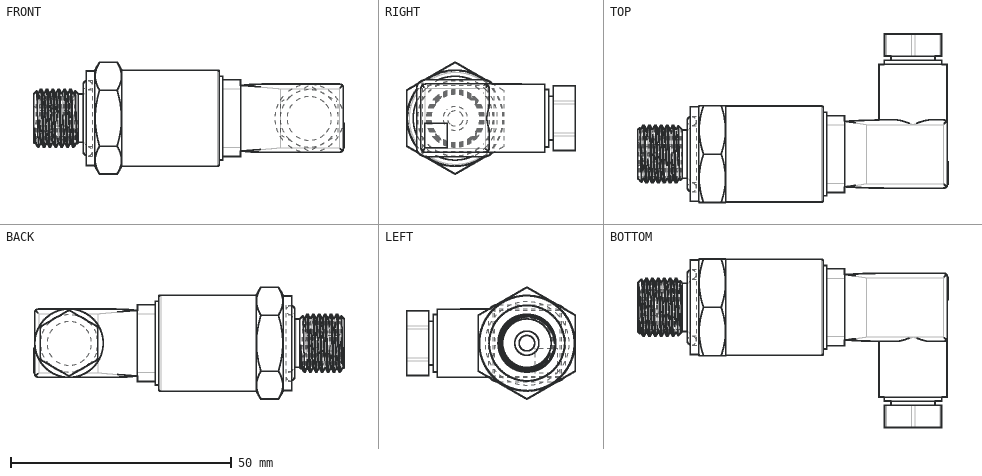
import cadquery as cq
import math


port_start = 0.0
seal_start = 11.2
collar_start = 11.9
hex_start = 13.9
case_start = 20.0
insert_start = 42.15
base_start = 42.9
plug_start = 46.95
plug_end = 70.3
overall_length = 70.5

thread_diameter = 13.1
thread_root_diameter = 11.4
thread_pitch = 1.35
thread_flank_angle = math.radians(27.5)
thread_root_width = 0.2
thread_crest_station = 1.7
thread_end = 10.15
flank_steps = 8
neck_diameter = 11.0
neck_fillet_radius = 0.9
bore_diameter = 3.5
bore_mouth_diameter = 5.5
bore_mouth_depth = 1.4
bore_depth = 8.45
collar_diameter = 21.5
hex_across_flats = 22.0
hex_face_diameter = 21.7
hex_chamfer_angle = 30.0

seal_outer_diameter = 17.05
seal_inner_diameter = 13.0
seal_groove_clearance = 0.1

case_diameter = 21.85
case_edge_radius = 0.5
insert_diameter = 19.0

base_side = 17.5
base_corner_radius = 2.1
plug_side = 15.5
plug_edge_radius = 1.05
plug_end_radius = 0.9
plug_top_taper_end = 51.9
plug_side_taper_end = 55.9
mark_width = 5.1
mark_height = 5.5
mark_y = -4.3
mark_z = -3.95

outlet_x = 62.45
outlet_end = 20.4
washer_end = 21.3
nut_start = 22.2
nut_end = 27.3
washer_diameter = 13.1
gland_stem_diameter = 10.0
nut_across_flats = 13.0
nut_corner_radius = 0.85


def disc(start, end, diameter):
    """Cylinder on the sensor axis between two X stations."""
    return cq.Workplane("YZ", origin=(start, 0, 0)).circle(diameter / 2).extrude(end - start)


def outlet_disc(start, end, diameter):
    """Cylinder on the cable outlet axis between two Y stations."""
    return cq.Workplane("XZ", origin=(outlet_x, start, 0)).circle(diameter / 2).extrude(start - end)


def revolve_about_x(points):
    """Solid of revolution about the sensor axis from (x, radius) points."""
    return cq.Workplane("XY").polyline(points).close().revolve(360, (0, 0, 0), (1, 0, 0))


def thread_section():
    """Cross-section of the thread: a crest arc at +Z and a root arc, joined by two spiral flanks."""
    root_radius = thread_root_diameter / 2
    crest_radius = thread_diameter / 2
    turn_per_length = 2 * math.pi / thread_pitch
    flank_turn = (crest_radius - root_radius) * math.tan(thread_flank_angle) * turn_per_length
    crest_half_turn = math.pi - thread_root_width / 2 * turn_per_length - flank_turn

    def point(radius, turn):
        return cq.Vector(port_start, radius * math.sin(turn), radius * math.cos(turn))

    def flank(side):
        """Spiral from the crest down to the root, on side +1 or -1 of the crest."""
        points = []
        for step in range(flank_steps + 1):
            fraction = step / flank_steps
            radius = crest_radius + fraction * (root_radius - crest_radius)
            points.append(point(radius, side * (crest_half_turn + fraction * flank_turn)))
        return cq.Edge.makeSpline(points)

    left_flank = flank(-1)
    right_flank = flank(1)
    crest = cq.Edge.makeThreePointArc(
        left_flank.startPoint(), point(crest_radius, 0), right_flank.startPoint()
    )
    root = cq.Edge.makeThreePointArc(
        right_flank.endPoint(), point(root_radius, math.pi), left_flank.endPoint()
    )
    return cq.Wire.assembleEdges([crest, right_flank, root, left_flank])


def seal_ring():
    section = (seal_outer_diameter - seal_inner_diameter) / 4
    ring_radius = (seal_outer_diameter + seal_inner_diameter) / 4
    return (
        cq.Workplane("XY")
        .center(seal_start + section, ring_radius)
        .circle(section)
        .revolve(360, (0, -ring_radius, 0), (1, -ring_radius, 0))
    )


def threaded_length():
    """Right-handed thread with both ends coned down to the neck diameter at 45 degrees."""
    length = thread_end - port_start
    thread = cq.Solid.extrudeLinearWithRotation(
        thread_section(),
        [],
        cq.Vector(port_start, 0, 0),
        cq.Vector(length, 0, 0),
        360 * length / thread_pitch,
    )
    crest_turn = -360 * (thread_crest_station - port_start) / thread_pitch
    tip_radius = neck_diameter / 2
    double_cone = revolve_about_x([
        (port_start, 0),
        (port_start, tip_radius),
        (port_start + length / 2, tip_radius + length / 2),
        (thread_end, tip_radius),
        (thread_end, 0),
    ])
    return double_cone.intersect(cq.Workplane(thread).rotate((0, 0, 0), (1, 0, 0), crest_turn))


def neck():
    """Plain neck behind the thread, rounded into the collar face."""
    radius = neck_diameter / 2
    return (
        cq.Workplane("XY")
        .moveTo(thread_end, 0)
        .lineTo(thread_end, radius)
        .lineTo(collar_start - neck_fillet_radius, radius)
        .radiusArc((collar_start, radius + neck_fillet_radius), -neck_fillet_radius)
        .lineTo(collar_start, 0)
        .close()
        .revolve(360, (0, 0, 0), (1, 0, 0))
    )


def seal_groove():
    """Flat-bottomed ring groove that the seal rests in."""
    bottom = seal_start + (seal_outer_diameter - seal_inner_diameter) / 2
    outer = disc(collar_start, bottom, seal_outer_diameter + 2 * seal_groove_clearance)
    return outer.cut(disc(collar_start, bottom, seal_inner_diameter - 2 * seal_groove_clearance))


def chamfered_hexagon():
    """Hexagon with corners at +Z and -Z, both ends chamfered by a cone."""
    corner_radius = hex_across_flats / math.sqrt(3)
    face_radius = hex_face_diameter / 2
    chamfer = (corner_radius - face_radius) * math.tan(math.radians(hex_chamfer_angle))
    hexagon = (
        cq.Workplane("YZ", origin=(hex_start, 0, 0))
        .polygon(6, 2 * corner_radius)
        .extrude(case_start - hex_start)
        .rotate((0, 0, 0), (1, 0, 0), 90)
    )
    turned = revolve_about_x([
        (hex_start, 0),
        (hex_start, face_radius),
        (hex_start + chamfer, corner_radius),
        (case_start - chamfer, corner_radius),
        (case_start, face_radius),
        (case_start, 0),
    ])
    return hexagon.intersect(turned)


def bore():
    mouth_radius = bore_mouth_diameter / 2
    bore_radius = bore_diameter / 2
    return revolve_about_x([
        (port_start, 0),
        (port_start, mouth_radius),
        (port_start + bore_mouth_depth, bore_radius),
        (port_start + bore_depth, bore_radius),
        (port_start + bore_depth, 0),
    ])


def port_body():
    collar = disc(collar_start, hex_start, collar_diameter)
    body = collar.union(chamfered_hexagon()).cut(seal_groove()).union(neck()).union(threaded_length())
    return body.cut(bore())


def case_body():
    return disc(case_start, insert_start, case_diameter).faces(">X").edges().fillet(case_edge_radius)


def insert_body():
    return disc(insert_start, base_start, insert_diameter)


def square_base():
    return (
        cq.Workplane("YZ", origin=(base_start, 0, 0))
        .rect(base_side, base_side)
        .extrude(plug_start - base_start)
        .edges("|X")
        .fillet(base_corner_radius)
    )


def taper_outline(plane, taper_end):
    """Plug outline along X: rounded at the far end, curving gently inward from the taper end to the base."""
    taper_depth = plug_edge_radius * (1 - math.sqrt(0.5))
    half = plug_side / 2
    return (
        cq.Workplane(plane)
        .moveTo(plug_end, 0)
        .lineTo(plug_end, half - plug_end_radius)
        .tangentArcPoint((plug_end - plug_end_radius, half), relative=False)
        .lineTo(taper_end, half)
        .tangentArcPoint((plug_start, half - taper_depth), relative=False)
        .lineTo(plug_start, 0)
        .mirrorX()
        .extrude(plug_side, both=True)
    )


def plug_body():
    """Angled plug: rounded block tapered toward the base, with the round cable outlet."""
    block = (
        cq.Workplane("YZ", origin=(plug_start, 0, 0))
        .rect(plug_side, plug_side)
        .extrude(plug_end - plug_start)
        .edges("|X")
        .fillet(plug_edge_radius)
    )
    top_taper = taper_outline("XZ", plug_top_taper_end)
    side_taper = taper_outline("XY", plug_side_taper_end)
    outlet = outlet_disc(0, outlet_end, plug_side)
    end_mark = (
        cq.Workplane("YZ", origin=(plug_end, mark_y, mark_z))
        .rect(mark_width, mark_height)
        .extrude(overall_length - plug_end)
    )
    return block.intersect(top_taper).intersect(side_taper).union(outlet).union(end_mark)


def outlet_washer():
    return outlet_disc(outlet_end, washer_end, washer_diameter)


def gland_nut():
    """Hexagonal nut with rounded corners at +Z and -Z, on a short stem."""
    corner_diameter = 2 * nut_across_flats / math.sqrt(3)
    head = (
        cq.Workplane("XZ", origin=(outlet_x, nut_start, 0))
        .transformed(rotate=(0, 0, 90))
        .polygon(6, corner_diameter)
        .extrude(nut_start - nut_end)
        .edges("|Y")
        .fillet(nut_corner_radius)
    )
    return head.union(outlet_disc(washer_end, nut_start, gland_stem_diameter))


port = port_body()
seal = seal_ring()
case = case_body()
insert = insert_body()
base = square_base()
plug = plug_body()
washer = outlet_washer()
nut = gland_nut()

result = cq.Compound.makeCompound([
    port.val(),
    seal.val(),
    case.val(),
    insert.val(),
    base.val(),
    plug.val(),
    washer.val(),
    nut.val(),
])